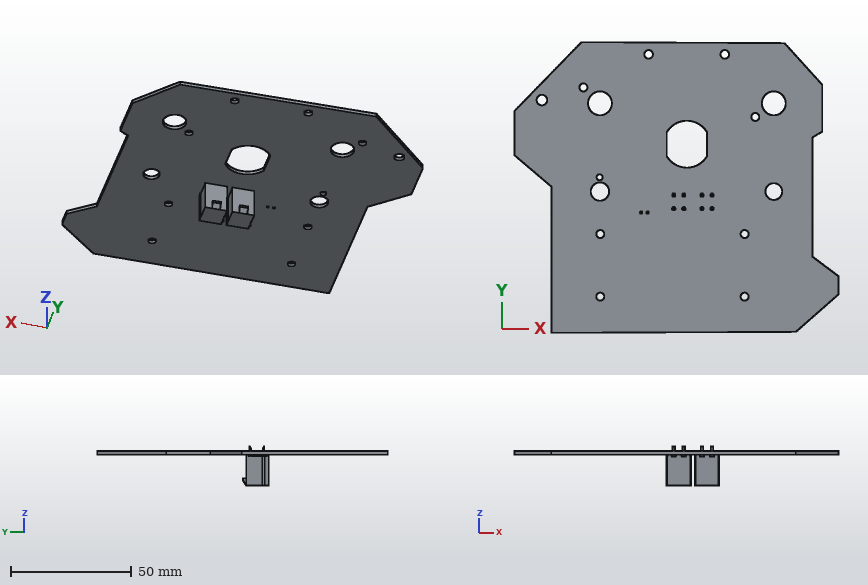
import cadquery as cq

housing_height = 12.8
board_thickness = 1.6
pin_tip_z = 16.3

board_length = 134.7
board_width = 120.8
lower_left_x = 15.4
right_edge_x = 124
upper_right_x = 128
edge_slant = 0.4

small_hole_d = 3.2
top_hole_d = 3.5
post_hole_d = 4.3
tiny_hole_d = 2.4
lead_hole_d = 0.9
pin_hole_d = 1.3
upper_opening_d = 9.8
lower_left_opening_d = 7.5
lower_right_opening_d = 6.9
opening_left_x = 35.5
opening_right_x = 107.8
opening_upper_y = 95.4
opening_lower_y = 58.7
mount_left_x = 35.7
mount_right_x = 95.7
mount_upper_y = 41.1
mount_lower_y = 15.1
upper_screw_points = [(28.7, 102.0), (100.1, 89.7)]
top_hole_points = [(55.8, 115.7), (87.5, 115.7)]
post_hole_point = (11.5, 96.7)
tiny_hole_point = (35.4, 64.7)
lead_hole_points = [(52.7, 50.0), (55.4, 50.0)]

center_x = 71.7
center_y = 78.4
center_d = 19.4
center_flat_width = 16.6

connector_xs = [68.3, 80.0]
connector_y = 54.2
housing_side = 9.4
rib_d = 0.9
rib_y = -2.4
latch_width = 3.5
latch_projection = 1.3
latch_top_z = 3.1
latch_lip = 1.0
channel_width = 7.7
channel_depth = 0.4
notch_width = 1.8
notch_depth = 0.8

pin_pitch_x = 4.2
pin_pitch_y = 5.5
pin_offset_y = 0.3
pin_width = 1.1
pin_depth = 0.55
tip_length = 1.0
tip_taper = 0.4


def pin_offsets():
    """Pin centres relative to the connector centre."""
    return [
        (side_x * pin_pitch_x / 2, pin_offset_y + side_y * pin_pitch_y / 2)
        for side_x in (-1, 1)
        for side_y in (-1, 1)
    ]


def make_board():
    outline = [
        (lower_left_x, 0),
        (117.0, edge_slant),
        (board_length, 16.0),
        (board_length, 23.6),
        (right_edge_x, 31.7),
        (right_edge_x, 81.2),
        (upper_right_x, 83.7),
        (upper_right_x, 103.0),
        (112.2, board_width - edge_slant),
        (27.9, board_width),
        (0, 92.1),
        (0, 73.8),
        (lower_left_x, 60.8),
    ]
    board = cq.Workplane("XY").polyline(outline).close().extrude(board_thickness)

    mount_points = [(x, y) for x in (mount_left_x, mount_right_x) for y in (mount_upper_y, mount_lower_y)]
    pin_points = [(x + dx, connector_y + dy) for x in connector_xs for dx, dy in pin_offsets()]
    holes = [
        (upper_opening_d, [(opening_left_x, opening_upper_y), (opening_right_x, opening_upper_y)]),
        (lower_left_opening_d, [(opening_left_x, opening_lower_y)]),
        (lower_right_opening_d, [(opening_right_x, opening_lower_y)]),
        (small_hole_d, mount_points + upper_screw_points),
        (top_hole_d, top_hole_points),
        (post_hole_d, [post_hole_point]),
        (tiny_hole_d, [tiny_hole_point]),
        (lead_hole_d, lead_hole_points),
        (pin_hole_d, pin_points),
    ]
    for diameter, points in holes:
        cutter = cq.Workplane("XY").pushPoints(points).circle(diameter / 2).extrude(board_thickness)
        board = board.cut(cutter)

    flats = cq.Workplane("XY").rect(center_flat_width, center_d).extrude(board_thickness)
    center_opening = cq.Workplane("XY").circle(center_d / 2).extrude(board_thickness).intersect(flats)
    board = board.cut(center_opening.translate((center_x, center_y, 0)))
    return board.translate((0, 0, housing_height))


def make_latch():
    """Wedge on the +Y face, widest at its flat top."""
    face_y = housing_side / 2
    tip_y = face_y + latch_projection
    profile = [
        (face_y, 0),
        (tip_y, latch_top_z - latch_lip),
        (tip_y, latch_top_z),
        (face_y, latch_top_z),
    ]
    return cq.Workplane("YZ").polyline(profile).close().extrude(latch_width / 2, both=True)


def make_pin(inner_side):
    """Flat pin whose tip tapers on one Y side; inner_side is the sign of that side."""
    floor_z = housing_height - notch_depth
    inner_y = inner_side * pin_depth / 2
    profile = [
        (-inner_y, floor_z),
        (inner_y, floor_z),
        (inner_y, pin_tip_z - tip_length),
        (inner_y - inner_side * tip_taper, pin_tip_z),
        (-inner_y, pin_tip_z),
    ]
    return cq.Workplane("YZ").polyline(profile).close().extrude(pin_width / 2, both=True)


def make_connector():
    housing = cq.Workplane("XY").box(housing_side, housing_side, housing_height, centered=(True, True, False))
    ribs = (
        cq.Workplane("XY")
        .pushPoints([(-housing_side / 2, rib_y), (housing_side / 2, rib_y)])
        .circle(rib_d / 2)
        .extrude(housing_height)
    )
    housing = housing.union(ribs).union(make_latch())

    channel_length = housing_side + rib_d
    channel = (
        cq.Workplane("XY", origin=(0, 0, housing_height - channel_depth))
        .rect(channel_length, channel_width)
        .extrude(channel_depth)
    )
    housing = housing.cut(channel)

    notch_length = housing_side / 2 + pin_offset_y - pin_pitch_y / 2
    notches = (
        cq.Workplane("XY", origin=(0, (notch_length - housing_side) / 2, housing_height - notch_depth))
        .pushPoints([(-pin_pitch_x / 2, 0), (pin_pitch_x / 2, 0)])
        .rect(notch_width, notch_length)
        .extrude(notch_depth)
    )
    connector = housing.cut(notches)

    for x, y in pin_offsets():
        inner_side = -1.3 if y > 0 else 1.3
        connector = connector.union(make_pin(inner_side).translate((x, y, 0)))
    return connector


board = make_board()
connectors = [make_connector().translate((x, connector_y, 0)) for x in connector_xs]

result = cq.Compound.makeCompound(
    [board.solids().val(), *[connector.solids().val() for connector in connectors]]
)